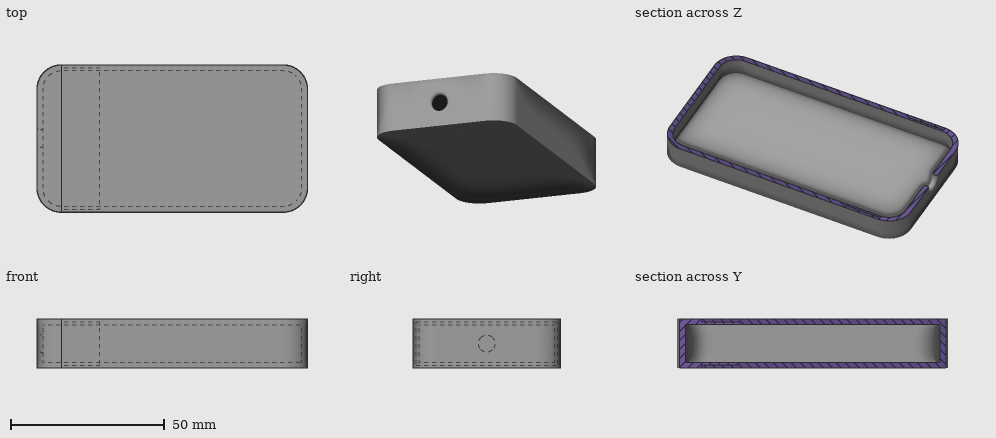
import cadquery as cq

length = 88.0
width = 48.0
height = 16.0
corner_radius = 8.0
wall = 1.9

cap_length = corner_radius

sleeve_length = 12.3
sleeve_end = cap_length + sleeve_length
sleeve_inset = wall / 2

port_diameter = 5.5
lip_radius = wall / 2


def rounded_block(inset):
    """Block with round vertical corners, lying inside the case outline by the inset."""
    return (
        cq.Workplane("XY")
        .box(length - 2 * inset, width - 2 * inset, height - 2 * inset)
        .edges("|Z")
        .fillet(corner_radius - inset)
        .translate((length / 2, 0, 0))
    )


def make_shell():
    """Hollow case of even wall thickness, closed all round."""
    return rounded_block(0).cut(rounded_block(wall))


def slab(start, end, inset=0):
    """Block between two positions along X, lying inside the case sides by the inset."""
    return (
        cq.Workplane("XY")
        .box(end - start, width - 2 * inset, height - 2 * inset, centered=(False, True, True))
        .translate((start, 0, 0))
    )


def make_port():
    """Cutter for the port: narrowest mid-wall, flaring along one arc to both wall faces."""
    throat_radius = port_diameter / 2
    mouth_radius = throat_radius + lip_radius
    return (
        cq.Workplane("XY")
        .lineTo(0, mouth_radius)
        .threePointArc((lip_radius, throat_radius), (wall, mouth_radius))
        .lineTo(wall, 0)
        .close()
        .revolve(360, (0, 0, 0), (1, 0, 0))
    )


def make_cap():
    """Hollow end cap with a plug-in sleeve and the port through its end wall."""
    envelope = slab(0, cap_length).union(slab(cap_length, sleeve_end, sleeve_inset))
    return make_shell().intersect(envelope).cut(make_port())


def make_housing():
    """Long hollow housing, open towards the cap and recessed for its sleeve."""
    recess = slab(cap_length, sleeve_end, sleeve_inset)
    return make_shell().intersect(slab(cap_length, length)).cut(recess)


cap = make_cap()
housing = make_housing()

result = cq.Compound.makeCompound([cap.val(), housing.val()])